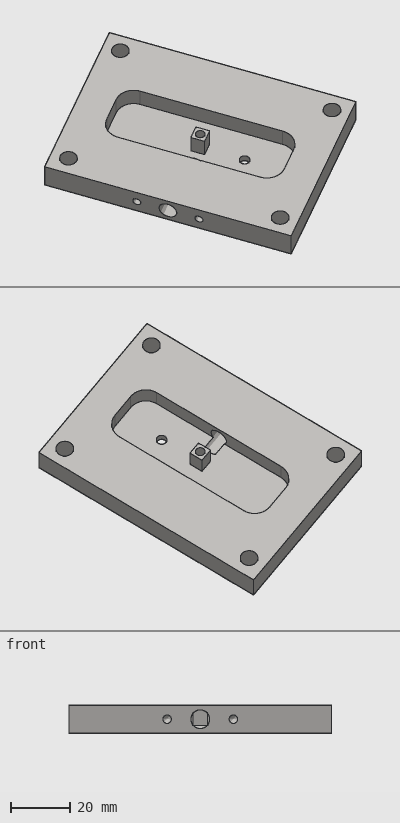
import cadquery as cq
import math

length = 88.9
width = 63.5
thickness = 9.5

corner_hole_diameter = 6.0
corner_hole_inset = 6.3

pocket_length = 64.0
pocket_width = 21.8
pocket_corner_radius = 6.3
floor_thickness = 2.6
pocket_depth = thickness - floor_thickness

post_side = 5.0
post_height = pocket_depth
post_bore_diameter = 3.2

floor_hole_diameter = 3.6
floor_hole_x = 16.0

drill_tip_angle = 118.0
port_diameter = 6.3
port_run_into_pocket = 5.2
port_depth = (width - pocket_width) / 2 + port_run_into_pocket
side_hole_diameter = 2.85
side_hole_x = 11.2
side_hole_depth = 10.0


def vertical_cylinder(diameter, x, y):
    """Cutter through the full plate thickness."""
    return cq.Workplane("XY").center(x, y).circle(diameter / 2).extrude(thickness)


def front_drill(diameter, depth, x):
    """Blind drill along +Y from the front face; depth excludes the pointed tip."""
    radius = diameter / 2
    tip_length = radius / math.tan(math.radians(drill_tip_angle / 2))
    profile = (
        cq.Workplane("XY")
        .polyline([(0, 0), (radius, 0), (radius, depth), (0, depth + tip_length)])
        .close()
    )
    drill = profile.revolve(360, (0, 0, 0), (0, 1, 0))
    return drill.translate((x, -width / 2, thickness / 2))


plate = cq.Workplane("XY").box(length, width, thickness, centered=(True, True, False))
pocket = (
    cq.Workplane("XY")
    .workplane(offset=floor_thickness)
    .rect(pocket_length, pocket_width)
    .extrude(pocket_depth)
    .edges("|Z")
    .fillet(pocket_corner_radius)
)
body = plate.cut(pocket)

post = cq.Workplane("XY").rect(post_side, post_side).extrude(floor_thickness + post_height)
body = body.union(post)
body = body.cut(vertical_cylinder(post_bore_diameter, 0, 0))

body = body.cut(vertical_cylinder(floor_hole_diameter, floor_hole_x, 0))

corner_x = length / 2 - corner_hole_inset
corner_y = width / 2 - corner_hole_inset
for x_side in (-1, 1):
    for y_side in (-1, 1):
        body = body.cut(vertical_cylinder(corner_hole_diameter, x_side * corner_x, y_side * corner_y))

body = body.cut(front_drill(port_diameter, port_depth, 0))
for x_side in (-1, 1):
    body = body.cut(front_drill(side_hole_diameter, side_hole_depth, x_side * side_hole_x))

result = body